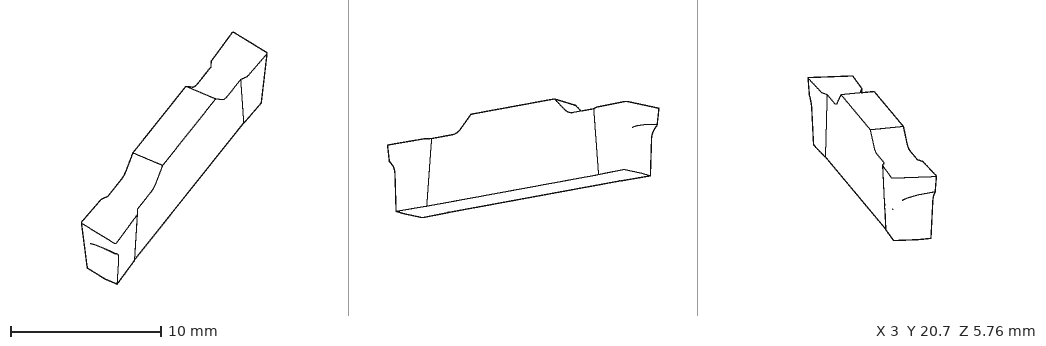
import cadquery as cq
import math


overall_width = 3.0
overall_length = 20.7
overall_height = 5.76

body_width = 2.3
body_half_length = 8.5
rake_height = 4.59
ridge_half_length = 3.52
ridge_slope_angle = math.radians(45)
ridge_root_radius = 0.95

cutting_edge_angle = math.radians(10)
side_taper_angle = math.radians(2)
side_draft_angle = math.radians(2.75)
front_clearance_angle = math.radians(5)
corner_radius = 0.1
shoulder_y = -7.3
shoulder_length = 0.46
shoulder_radius = 0.2
head_root_y = -6.0

relief_wall_y = -9.76
relief_arc_bottom = 2.56
relief_radius = 1.1


def make_body():
    """Body and ridge as one side profile in the YZ plane, extruded across X."""
    root_rise = ridge_root_radius * (1 - math.cos(ridge_slope_angle))
    root_run = ridge_root_radius * math.sin(ridge_slope_angle)
    root_mid_rise = ridge_root_radius * (1 - math.cos(ridge_slope_angle / 2))
    root_mid_run = ridge_root_radius * math.sin(ridge_slope_angle / 2)
    slope_drop = overall_height - rake_height - root_rise
    slope_end_y = ridge_half_length + slope_drop / math.tan(ridge_slope_angle)
    root_end_y = slope_end_y + root_run

    slope_end_z = rake_height + root_rise
    root_mid_y = root_end_y - root_mid_run
    root_mid_z = rake_height + root_mid_rise
    return (
        cq.Workplane("YZ")
        .moveTo(-body_half_length, 0)
        .lineTo(body_half_length, 0)
        .lineTo(body_half_length, rake_height)
        .lineTo(root_end_y, rake_height)
        .threePointArc((root_mid_y, root_mid_z), (slope_end_y, slope_end_z))
        .lineTo(ridge_half_length, overall_height)
        .lineTo(-ridge_half_length, overall_height)
        .lineTo(-slope_end_y, slope_end_z)
        .threePointArc((-root_mid_y, root_mid_z), (-root_end_y, rake_height))
        .lineTo(-body_half_length, rake_height)
        .close()
        .extrude(body_width / 2, both=True)
    )


def head_outline(depth):
    """Sharp-cornered outline of the -Y head at a depth below the rake face."""
    nose_x = overall_width / 2 - corner_radius
    nose_y = corner_radius - overall_length / 2
    taper = math.tan(side_taper_angle)
    edge_slope = math.tan(cutting_edge_angle)
    side_inset = depth * math.tan(side_draft_angle)
    front_inset = depth * math.tan(front_clearance_angle)

    flank_offset = corner_radius / math.cos(side_taper_angle) - side_inset
    flank_x0 = nose_x + taper * nose_y + flank_offset
    front_offset = (corner_radius - front_inset) / math.cos(cutting_edge_angle)
    front_y0 = nose_y + edge_slope * nose_x - front_offset

    leading_x = (flank_x0 - taper * front_y0) / (1 - taper * edge_slope)
    trailing_x = -(flank_x0 - taper * front_y0) / (1 + taper * edge_slope)
    shoulder_x = flank_x0 - taper * shoulder_y
    neck_x = body_width / 2 - side_inset
    neck_y = shoulder_y + shoulder_length
    return [
        (leading_x, front_y0 - edge_slope * leading_x),
        (shoulder_x, shoulder_y),
        (neck_x, neck_y),
        (neck_x, head_root_y),
        (-neck_x, head_root_y),
        (-neck_x, neck_y),
        (-shoulder_x, shoulder_y),
        (trailing_x, front_y0 - edge_slope * trailing_x),
    ]


def upright_edges(head, y_min, y_max):
    """Edges running from the underside to the rake face, centred in a Y range."""
    box = cq.selectors.BoxSelector(
        (-overall_width, y_min, rake_height / 4),
        (overall_width, y_max, rake_height * 3 / 4),
    )
    return head.edges(box)


def cut_relief(head):
    """Cut the upright wall and its concave run-out below the cutting edge."""
    arc_center_y = relief_wall_y - relief_radius
    arc_mid_run = relief_radius / math.sqrt(2)
    relief = (
        cq.Workplane("YZ")
        .moveTo(arc_center_y, 0)
        .lineTo(relief_wall_y, 0)
        .lineTo(relief_wall_y, relief_arc_bottom)
        .threePointArc(
            (arc_center_y + arc_mid_run, relief_arc_bottom + arc_mid_run),
            (arc_center_y, relief_arc_bottom + relief_radius),
        )
        .close()
        .extrude(overall_width, both=True)
    )
    return head.cut(relief)


def make_head():
    """Cutting head at the -Y end, with its leading nose on the +X side."""
    head = (
        cq.Workplane("XY")
        .polyline(head_outline(rake_height))
        .close()
        .workplane(offset=rake_height)
        .polyline(head_outline(0))
        .close()
        .loft(ruled=True)
    )
    front_limit_y = (relief_wall_y + shoulder_y) / 2
    head = upright_edges(head, -overall_length, front_limit_y).fillet(corner_radius)
    shoulder_limit_y = shoulder_y + shoulder_length / 2
    head = upright_edges(head, front_limit_y, shoulder_limit_y).fillet(shoulder_radius)
    return cut_relief(head)


head = make_head()
opposite_head = head.rotate((0, 0, 0), (0, 0, 1), 180)
result = make_body().union(head).union(opposite_head)